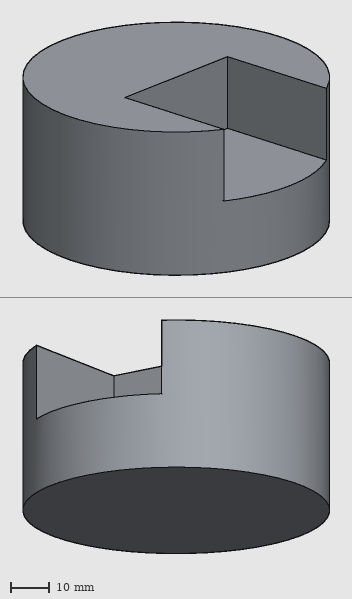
import cadquery as cq

diameter = 80.0
height = 40.0
notch_width = 40.0
notch_depth = 20.0

radius = diameter / 2

body = cq.Workplane("XY").circle(radius).extrude(height)

notch = (
    cq.Workplane("XY")
    .workplane(offset=height - notch_depth)
    .box(radius, notch_width, notch_depth, centered=(False, True, False))
)

result = body.cut(notch)